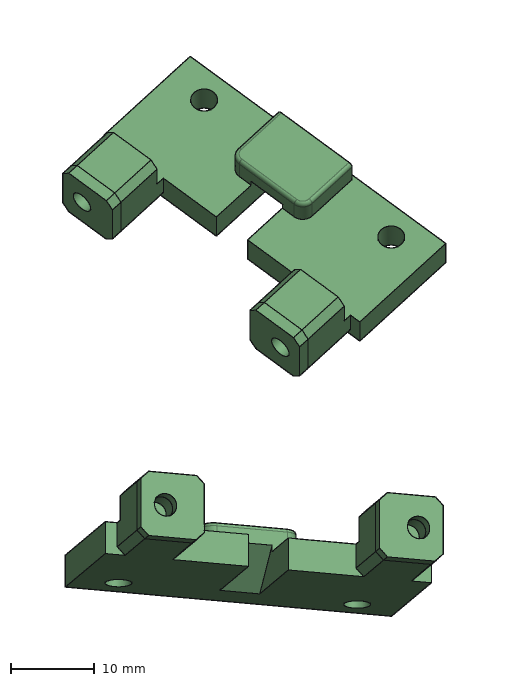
import cadquery as cq

plate_width = 41.0
plate_depth = 15.4
plate_thickness = 3.98
mount_hole_diameter = 3.2
mount_hole_x = 15.0
mount_hole_y = -3.65

overall_depth = 24.5
block_size = 8.0
block_x = 15.0
block_chamfer = 1.0
end_cap_thickness = 1.5
end_cap_front_y = -overall_depth
end_cap_rear_y = end_cap_front_y + end_cap_thickness
block_rear_y = end_cap_front_y + block_size

bore_diameter = 2.8
bore_offset = 0.9
bore_depth = 4.0
bore_z = block_size / 2

pad_width = 11.85
pad_rear_y = -0.5
pad_front_y = -9.2
pad_top_z = 7.05
pad_corner_radius = 1.5
pad_edge_radius = 0.5

notch_width = 5.0
ramp_top_z = 4.75

sides = (-1, 1)


def box_between(width, center_x, front_y, rear_y, height):
    """Box standing on z = 0."""
    return (
        cq.Workplane("XY")
        .center(center_x, (front_y + rear_y) / 2)
        .rect(width, rear_y - front_y)
        .extrude(height)
    )


def chamfered_bar(center_x, front_y, rear_y):
    """Square bar along Y with its four long edges chamfered."""
    bar = box_between(block_size, center_x, front_y, rear_y, block_size)
    return bar.edges("|Y").chamfer(block_chamfer)


def make_bore(side):
    """Cylinder entering the block from its front face."""
    return (
        cq.Workplane("XZ", origin=(side * (block_x + bore_offset), end_cap_front_y, bore_z))
        .circle(bore_diameter / 2)
        .extrude(-bore_depth)
    )


def make_block(side):
    """Block with a low neck joining it to the plate."""
    bar = chamfered_bar(side * block_x, end_cap_rear_y, -plate_depth)
    above_neck = box_between(
        block_size, side * block_x, block_rear_y, -plate_depth, block_size
    ).translate((0, 0, plate_thickness))
    return bar.cut(above_neck).cut(make_bore(side))


def make_pad():
    pad = box_between(pad_width, 0, pad_front_y, pad_rear_y, pad_top_z)
    pad = pad.edges("|Z and <Y").fillet(pad_corner_radius)
    return pad.faces(">Z").edges("not >Y").fillet(pad_edge_radius)


def make_notch():
    """Notch profile in the YZ plane, extruded across the notch width."""
    ramp_foot_y = pad_front_y + ramp_top_z
    return (
        cq.Workplane("YZ")
        .moveTo(-plate_depth, 0)
        .lineTo(ramp_foot_y, 0)
        .lineTo(pad_front_y, ramp_top_z)
        .lineTo(-plate_depth, ramp_top_z)
        .close()
        .extrude(notch_width / 2, both=True)
    )


def make_base():
    """Plate, pad and both blocks in one solid."""
    base = box_between(plate_width, 0, -plate_depth, 0, plate_thickness)
    base = base.union(make_pad()).cut(make_notch())
    for side in sides:
        base = base.union(make_block(side))
    mount_holes = (
        cq.Workplane("XY")
        .pushPoints([(side * mount_hole_x, mount_hole_y) for side in sides])
        .circle(mount_hole_diameter / 2)
        .extrude(plate_thickness)
    )
    return base.cut(mount_holes)


def make_end_cap(side):
    cap = chamfered_bar(side * block_x, end_cap_front_y, end_cap_rear_y)
    return cap.cut(make_bore(side))


base = make_base()
end_caps = [make_end_cap(side) for side in sides]

result = cq.Compound.makeCompound([base.val(), *[cap.val() for cap in end_caps]])